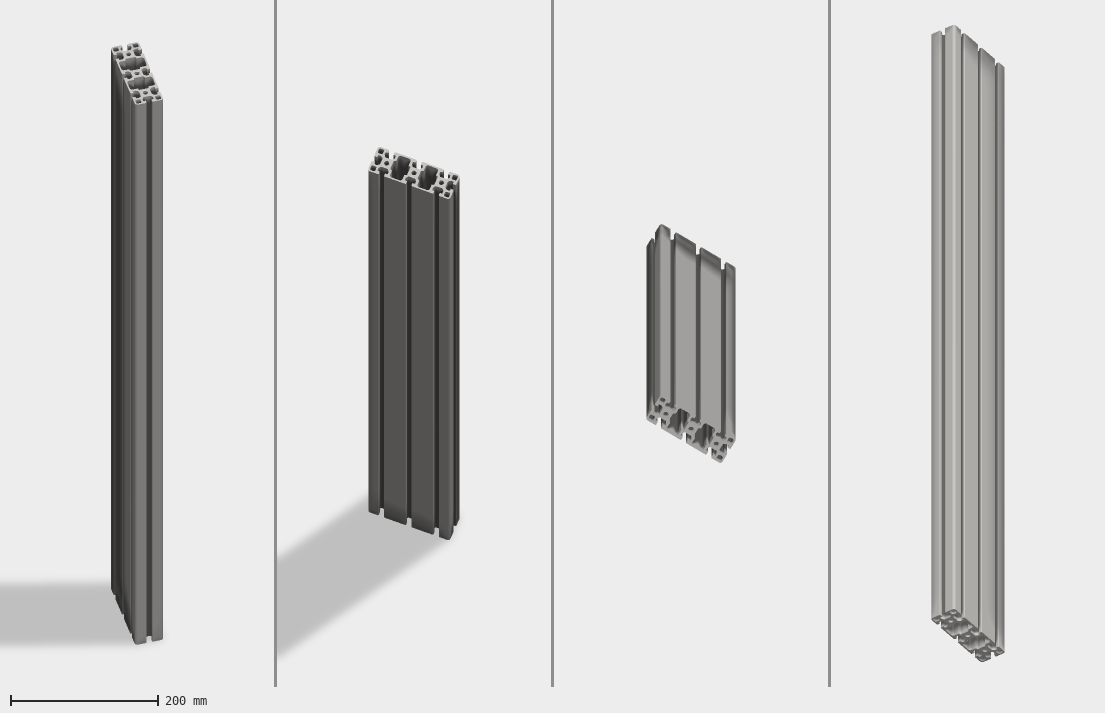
import cadquery as cq
length = 1000.0
cell = 40.0
cell_count = 3
width = cell * cell_count
half_cell = cell / 2
corner_radius = 3.75

mouth_half_width = 3.9
mouth_edge_radius = 1.25
lip_thickness = 4.75
slot_half_width = 7.5
slot_wall_height = 4.0
slot_depth = 12.25
slot_floor_half_width = 5.0
slot_corner_radius = 1.25

outer_wall = 2.25

hollow_end_half_width = 9.0
hollow_end_radius = 3.5
hollow_waist_half_width = 12.25
hollow_waist_half_height = 6.75
hollow_shoulder_half_height = 7.75
hollow_waist_radius = 1.75

corner_hollow_size = 7.5
corner_hollow_radius = 2.0

core_bore_diameter = 6.8

cell_centres = [(index - (cell_count - 1) / 2) * cell for index in range(cell_count)]
hollow_centres = [cell_x + half_cell for cell_x in cell_centres[:-1]]
end_cell_x = cell_centres[-1]


def make_blank():
    """Solid bar with rounded long edges."""
    blank = cq.Workplane("XY").rect(width, cell).extrude(length)
    return blank.edges("|Z").fillet(corner_radius)


def make_slot(cell_x, angle):
    """T-slot that opens toward +Y of its cell, turned about the cell centre."""
    lip_underside = half_cell - lip_thickness
    lip_round_start = half_cell - mouth_edge_radius
    mouth_outer_half_width = mouth_half_width + mouth_edge_radius
    shoulder = lip_underside - slot_wall_height
    floor = half_cell - slot_depth
    slot = (
        cq.Workplane("XY")
        .moveTo(-mouth_outer_half_width, half_cell)
        .radiusArc((-mouth_half_width, lip_round_start), mouth_edge_radius)
        .lineTo(-mouth_half_width, lip_underside)
        .lineTo(-slot_half_width, lip_underside)
        .lineTo(-slot_half_width, shoulder)
        .lineTo(-slot_floor_half_width, floor)
        .lineTo(slot_floor_half_width, floor)
        .lineTo(slot_half_width, shoulder)
        .lineTo(slot_half_width, lip_underside)
        .lineTo(mouth_half_width, lip_underside)
        .lineTo(mouth_half_width, lip_round_start)
        .radiusArc((mouth_outer_half_width, half_cell), mouth_edge_radius)
        .close()
        .extrude(length)
    )
    slot = slot.faces("<Y or >X or <X").edges("|Z").fillet(slot_corner_radius)
    return slot.rotate((0, 0, 0), (0, 0, 1), angle).translate((cell_x, 0, 0))


def make_large_hollow(centre_x):
    """Barrel-shaped hollow between two neighbouring cells."""
    end_y = half_cell - outer_wall
    right_side = [
        (hollow_end_half_width, -end_y),
        (hollow_end_half_width, -hollow_shoulder_half_height),
        (hollow_waist_half_width, -hollow_waist_half_height),
        (hollow_waist_half_width, hollow_waist_half_height),
        (hollow_end_half_width, hollow_shoulder_half_height),
        (hollow_end_half_width, end_y),
    ]
    left_side = [(-x, -y) for x, y in right_side]
    hollow = cq.Workplane("XY").polyline(right_side + left_side).close().extrude(length)
    hollow = hollow.faces(">Y or <Y").edges("|Z").fillet(hollow_end_radius)
    hollow = hollow.faces(">X or <X").edges("|Z").fillet(hollow_waist_radius)
    return hollow.translate((centre_x, 0, 0))


def make_corner_hollows():
    """One rounded square hollow in each corner of the profile."""
    centre_inset = outer_wall + corner_hollow_size / 2
    x = width / 2 - centre_inset
    y = half_cell - centre_inset
    hollows = (
        cq.Workplane("XY")
        .pushPoints([(-x, -y), (-x, y), (x, -y), (x, y)])
        .rect(corner_hollow_size, corner_hollow_size)
        .extrude(length)
    )
    return hollows.edges("|Z").fillet(corner_hollow_radius)


def make_core_bores():
    """Round bore through the middle of every cell."""
    return (
        cq.Workplane("XY")
        .pushPoints([(cell_x, 0) for cell_x in cell_centres])
        .circle(core_bore_diameter / 2)
        .extrude(length)
    )


result = make_blank()

for cell_x in cell_centres:
    for angle in (0, 180):
        result = result.cut(make_slot(cell_x, angle))
result = result.cut(make_slot(-end_cell_x, 90))
result = result.cut(make_slot(end_cell_x, -90))

for centre_x in hollow_centres:
    result = result.cut(make_large_hollow(centre_x))
result = result.cut(make_corner_hollows())
result = result.cut(make_core_bores())